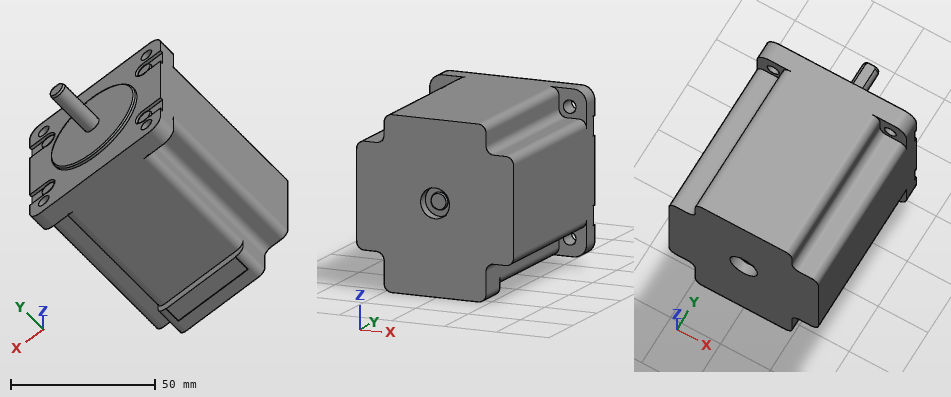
import cadquery as cq


cap_front_y = 11.5
flange_rear_y = 60.6
flange_front_y = 67.6
pilot_front_y = 69.1
shaft_end_y = 88.1

body_width = 60.0
body_half = body_width / 2
arm_half = 19.5
body_fillet = 3.0

cap_bottom_z = -33.6
pad_width = 31.9
pad_thickness = 0.4
pad_start_y = 4.9

flange_corner_radius = 5.0
mount_hole_diameter = 4.8
mount_hole_offset = 23.5

pilot_diameter = 38.4
pilot_chamfer = 0.5

recess_width = 7.05
recess_depth = 1.15
recess_x = 22.0
recess_z = 15.95
head_base_radius = 3.0
head_top_radius = 2.7
head_height = 0.6

shaft_diameter = 6.3
shaft_chamfer_length = 0.9
shaft_chamfer_depth = 0.31
flat_start_y = 73.2
flat_depth = 0.6
rear_hole_diameter = 11.0
rear_hole_depth = 4.0
shaft_rear_y = 2.8


def section_at(y):
    """Workplane across the motor axis at position y; a negative extrusion runs toward +Y."""
    return cq.Workplane("XZ", origin=(0, y, 0))


def block(x_size, z_bottom, z_top, y_start, y_end):
    """Box centred on x = 0 between the given z and y limits."""
    box = cq.Workplane("XY").box(x_size, y_end - y_start, z_top - z_bottom, centered=(True, False, False))
    return box.translate((0, y_start, z_bottom))


def cylinder(diameter, y_start, y_end):
    """Cylinder on the motor axis."""
    return section_at(y_start).circle(diameter / 2).extrude(y_start - y_end)


def cross_prism(bottom_z, y_start, y_end):
    """Cross-shaped prism with every corner rounded; its lower arm ends at bottom_z."""
    wide_arm = block(body_width, -arm_half, arm_half, y_start, y_end)
    tall_arm = block(2 * arm_half, bottom_z, body_half, y_start, y_end)
    return wide_arm.union(tall_arm).edges("|Y").fillet(body_fillet)


def make_flange():
    """Square flange with rounded corners and four mounting holes."""
    flange = block(body_width, -body_half, body_half, flange_rear_y, flange_front_y)
    flange = flange.edges("|Y").fillet(flange_corner_radius)
    holes = (
        section_at(flange_rear_y)
        .rect(2 * mount_hole_offset, 2 * mount_hole_offset, forConstruction=True)
        .vertices()
        .circle(mount_hole_diameter / 2)
        .extrude(flange_rear_y - flange_front_y)
    )
    return flange.cut(holes)


def make_screw_recess(side, z):
    """Round-ended slot from the recess centre out through the flange side (side is -1 or 1)."""
    floor_y = flange_front_y - recess_depth
    slot_length = body_half - recess_x
    round_end = section_at(floor_y).center(side * recess_x, z).circle(recess_width / 2).extrude(-recess_depth)
    channel = (
        section_at(floor_y)
        .center(side * (recess_x + slot_length / 2), z)
        .rect(slot_length, recess_width)
        .extrude(-recess_depth)
    )
    return round_end.union(channel)


def make_screw_head(side, z):
    """Tapered screw head standing on the floor of a recess."""
    floor_y = flange_front_y - recess_depth
    cone = cq.Solid.makeCone(
        head_base_radius,
        head_top_radius,
        head_height,
        pnt=cq.Vector(side * recess_x, floor_y, z),
        dir=cq.Vector(0, 1, 0),
    )
    return cq.Workplane(cone)


def make_shaft():
    """Round shaft with chamfered ends and a flat on its upper front part."""
    shaft = cylinder(shaft_diameter, shaft_rear_y, shaft_end_y)
    shaft = shaft.faces("<Y or >Y").chamfer(shaft_chamfer_length, shaft_chamfer_depth)
    shaft_radius = shaft_diameter / 2
    flat_cutter = block(shaft_diameter, shaft_radius - flat_depth, shaft_radius, flat_start_y, shaft_end_y)
    return shaft.cut(flat_cutter)


def make_housing():
    """Body, rear cap, flange and pilot in one piece, bored for the shaft."""
    housing = cross_prism(-body_half, 0, flange_rear_y)
    housing = housing.union(cross_prism(cap_bottom_z, 0, cap_front_y))
    pad = block(pad_width, cap_bottom_z - pad_thickness, cap_bottom_z, pad_start_y, cap_front_y)
    housing = housing.union(pad)

    pilot = cylinder(pilot_diameter, flange_front_y, pilot_front_y).faces(">Y").chamfer(pilot_chamfer)
    housing = housing.union(make_flange()).union(pilot)

    for side in (-1, 1):
        for z in (-recess_z, recess_z):
            housing = housing.cut(make_screw_recess(side, z))
            housing = housing.union(make_screw_head(side, z))

    housing = housing.cut(cylinder(rear_hole_diameter, 0, rear_hole_depth))
    return housing.cut(cylinder(shaft_diameter, 0, pilot_front_y))


housing = make_housing()
shaft = make_shaft()

result = cq.Compound.makeCompound([housing.val(), shaft.val()])